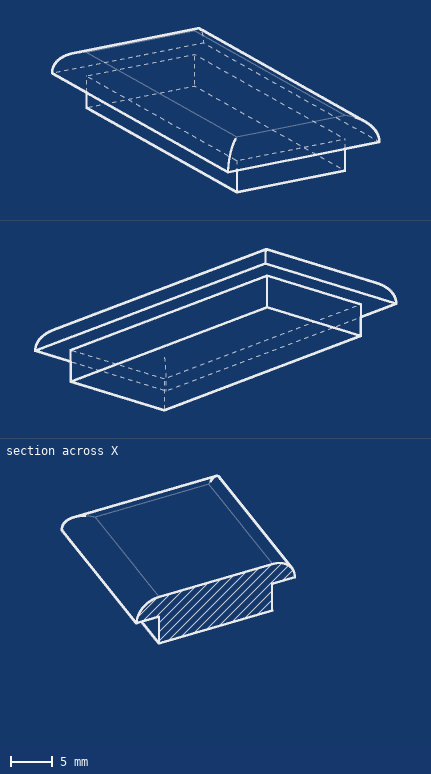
import cadquery as cq

plug_length = 35.0
plug_width = 15.0
plug_height = 4.0
edge_radius = 3.0

cap_height = edge_radius
cap_length = plug_length + 2 * edge_radius
cap_width = plug_width + 2 * edge_radius


def rounded_bar(plane, flat_width, bar_length):
    """Bar with a flat base, a flat top and quarter-round sides, centred on the plane."""
    half_flat = flat_width / 2
    half_base = half_flat + edge_radius
    return (
        cq.Workplane(plane)
        .moveTo(-half_base, 0)
        .lineTo(half_base, 0)
        .radiusArc((half_flat, cap_height), -edge_radius)
        .lineTo(-half_flat, cap_height)
        .radiusArc((-half_base, 0), -edge_radius)
        .close()
        .extrude(bar_length / 2, both=True)
    )


def make_cap():
    """Two crossing rounded bars intersect in a cap with mitred corners."""
    bar_across_y = rounded_bar("XZ", plug_length, cap_width)
    bar_along_x = rounded_bar("YZ", plug_width, cap_length)
    return bar_across_y.intersect(bar_along_x)


def make_plug():
    """Rectangular plug hanging below the cap."""
    return cq.Workplane("XY").rect(plug_length, plug_width).extrude(-plug_height)


result = make_cap().union(make_plug())